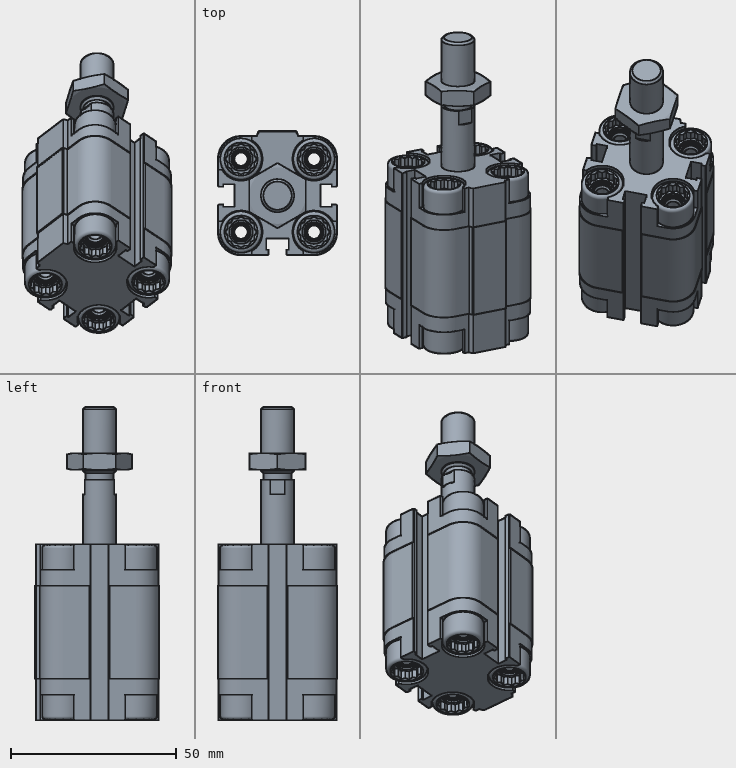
import cadquery as cq
import math

TOTAL_HEIGHT = 94.5
HOUSING_HEIGHT = 53.1
CAP_HEIGHT = 12.5

BARREL_HALF = 18.0
CAP_INSET = 0.2
SCREW_OFFSET = 11.0
PAD_REACH = 19.51
PAD_INSET = 0.33
PAD_HALF_TOP = 5.6
PAD_HALF_SHOULDER = 5.9
PAD_HALF_FOOT = 6.2
PAD_SHOULDER = 0.4

SLOT_DEPTH = 5.0
SLOT_HALF = 3.355
SLOT_MOUTH_HALF = 2.6
SLOT_LIP = 1.7
MOUTH_CHAMFER = 0.4

NOTCH_EDGE = 7.75
NOTCH_DEPTH = 7.7
COLLAR_DIAMETER = 12.5
COLLAR_FILLET = 1.0
COLLAR_POCKET_DIAMETER = 13.0
COLLAR_RECESS = 0.2

SOCKET_FLATS = 8.1
SOCKET_MOUTH_DIAMETER = 10.0
MOUTH_DEPTH = 0.6
SOCKET_DEPTH = 3.2
SEAT_DIAMETER = 7.2
SEAT_DEPTH = 4.0
STEP_DIAMETER = 6.0
STEP_DEPTH = 4.3
FUNNEL_DIAMETER = 5.0
FUNNEL_DEPTH = 5.1
THROUGH_DIAMETER = 4.0

ROD_DIAMETER = 10.0
ROD_TIP_CHAMFER = 0.8
NECK_DIAMETER = 8.5
THREAD_BOTTOM = 75.2
NECK_BOTTOM = 72.6
FLATS_ACROSS = 9.0
FLATS_HEIGHT = 4.4

NUT_FLATS = 17.0
NUT_BOTTOM = 75.5
NUT_HEIGHT = 5.0
NUT_CHAMFER_ANGLE = 15.0

CORNERS = [(sx, sy) for sx in (-1, 1) for sy in (-1, 1)]


def profile_block(inset, pad_inset, bottom, top):
    """Rounded square with a pad on its +Y side; the insets shrink the square and the pad."""
    half = BARREL_HALF - inset
    reach = PAD_REACH - pad_inset
    body = (
        cq.Workplane("XY", origin=(0, 0, bottom))
        .rect(2 * half, 2 * half)
        .extrude(top - bottom)
        .edges("|Z")
        .fillet(half - SCREW_OFFSET)
    )
    pad = (
        cq.Workplane("XY", origin=(0, 0, bottom))
        .moveTo(-PAD_HALF_FOOT, 0)
        .lineTo(PAD_HALF_FOOT, 0)
        .lineTo(PAD_HALF_FOOT, half)
        .lineTo(PAD_HALF_SHOULDER, reach - PAD_SHOULDER)
        .lineTo(PAD_HALF_TOP, reach)
        .lineTo(-PAD_HALF_TOP, reach)
        .lineTo(-PAD_HALF_SHOULDER, reach - PAD_SHOULDER)
        .lineTo(-PAD_HALF_FOOT, half)
        .close()
        .extrude(top - bottom)
    )
    return body.union(pad)


def slot_cutter(angle):
    """T-slot along the full height, opening toward -Y and turned about Z by the angle."""
    floor = SLOT_DEPTH - BARREL_HALF
    lip = SLOT_LIP - BARREL_HALF
    outside = -BARREL_HALF - 0.9
    wide_mouth = SLOT_MOUTH_HALF + MOUTH_CHAMFER
    return (
        cq.Workplane("XY")
        .moveTo(-SLOT_HALF, floor)
        .lineTo(SLOT_HALF, floor)
        .lineTo(SLOT_HALF, lip)
        .lineTo(SLOT_MOUTH_HALF, lip)
        .lineTo(SLOT_MOUTH_HALF, MOUTH_CHAMFER - BARREL_HALF)
        .lineTo(wide_mouth, -BARREL_HALF)
        .lineTo(wide_mouth, outside)
        .lineTo(-wide_mouth, outside)
        .lineTo(-wide_mouth, -BARREL_HALF)
        .lineTo(-SLOT_MOUTH_HALF, MOUTH_CHAMFER - BARREL_HALF)
        .lineTo(-SLOT_MOUTH_HALF, lip)
        .lineTo(-SLOT_HALF, lip)
        .close()
        .extrude(HOUSING_HEIGHT)
        .rotate((0, 0, 0), (0, 0, 1), angle)
    )


def corner_notch():
    """Space around the collar at the +X +Y corner of the top cap."""
    size = BARREL_HALF - NOTCH_EDGE
    middle = (BARREL_HALF + NOTCH_EDGE) / 2
    floor = HOUSING_HEIGHT - NOTCH_DEPTH
    notch = cq.Workplane("XY", origin=(middle, middle, floor)).rect(size, size).extrude(NOTCH_DEPTH)
    screw_axis = cq.Workplane("XY", origin=(SCREW_OFFSET, SCREW_OFFSET, floor))
    pocket = screw_axis.circle(COLLAR_POCKET_DIAMETER / 2).extrude(NOTCH_DEPTH)
    collar = screw_axis.circle(COLLAR_DIAMETER / 2).extrude(NOTCH_DEPTH - COLLAR_RECESS)
    collar = collar.faces(">Z").edges().fillet(COLLAR_FILLET)
    return notch.union(pocket).cut(collar)


def socket():
    """Twelve-point socket with a conical mouth, a stepped seat and a funnel below it."""
    top = HOUSING_HEIGHT - COLLAR_RECESS
    start = cq.Workplane("XY", origin=(SCREW_OFFSET, SCREW_OFFSET, top))
    corners = SOCKET_FLATS / math.cos(math.radians(30))
    hexagon = start.polygon(6, corners).extrude(-SOCKET_DEPTH)
    axis_start = (SCREW_OFFSET, SCREW_OFFSET, 0)
    axis_end = (SCREW_OFFSET, SCREW_OFFSET, 1)
    mouth_radius = SOCKET_MOUTH_DIAMETER / 2
    flats_radius = SOCKET_FLATS / 2
    bore = (
        cq.Workplane("XZ", origin=(SCREW_OFFSET, SCREW_OFFSET, top))
        .moveTo(0, 0)
        .lineTo(mouth_radius, 0)
        .lineTo(flats_radius, -MOUTH_DEPTH)
        .lineTo(flats_radius, -SOCKET_DEPTH)
        .lineTo(SEAT_DIAMETER / 2, -SOCKET_DEPTH)
        .lineTo(SEAT_DIAMETER / 2, -SEAT_DEPTH)
        .lineTo(STEP_DIAMETER / 2, -SEAT_DEPTH)
        .lineTo(STEP_DIAMETER / 2, -STEP_DEPTH)
        .lineTo(FUNNEL_DIAMETER / 2, -STEP_DEPTH)
        .lineTo(THROUGH_DIAMETER / 2, -FUNNEL_DEPTH)
        .lineTo(0, -FUNNEL_DEPTH)
        .close()
        .revolve(360, (0, 0, 0), (0, 1, 0))
    )
    return bore.union(hexagon).union(hexagon.rotate(axis_start, axis_end, 30))


def make_housing():
    cap_top = HOUSING_HEIGHT - CAP_HEIGHT
    body = profile_block(CAP_INSET, PAD_INSET, 0, HOUSING_HEIGHT)
    body = body.union(profile_block(0, 0, CAP_HEIGHT, cap_top))
    for angle in (0, 90, -90):
        body = body.cut(slot_cutter(angle))
    top_cut = corner_notch().union(socket())
    middle = (0, 0, HOUSING_HEIGHT / 2)
    bottom_cut = top_cut.mirror("XY", middle)
    for sx, sy in CORNERS:
        turn = math.degrees(math.atan2(sy, sx)) - 45
        for cut in (top_cut, bottom_cut):
            body = body.cut(cut.rotate((0, 0, 0), (0, 0, 1), turn))
    spacing = 2 * SCREW_OFFSET
    holes = cq.Workplane("XY").rarray(spacing, spacing, 2, 2).circle(THROUGH_DIAMETER / 2)
    return body.cut(holes.extrude(HOUSING_HEIGHT))


def make_rod():
    radius = ROD_DIAMETER / 2
    neck = NECK_DIAMETER / 2
    rod = (
        cq.Workplane("XZ")
        .moveTo(0, HOUSING_HEIGHT)
        .lineTo(radius, HOUSING_HEIGHT)
        .lineTo(radius, NECK_BOTTOM)
        .lineTo(neck, NECK_BOTTOM)
        .lineTo(neck, THREAD_BOTTOM - (radius - neck))
        .lineTo(radius, THREAD_BOTTOM)
        .lineTo(radius, TOTAL_HEIGHT - ROD_TIP_CHAMFER)
        .lineTo(radius - ROD_TIP_CHAMFER, TOTAL_HEIGHT)
        .lineTo(0, TOTAL_HEIGHT)
        .close()
        .revolve(360, (0, 0, 0), (0, 1, 0))
    )
    start = cq.Workplane("XY", origin=(0, 0, NECK_BOTTOM - FLATS_HEIGHT))
    flats = start.rect(2 * ROD_DIAMETER, 2 * ROD_DIAMETER).rect(2 * ROD_DIAMETER, FLATS_ACROSS)
    return rod.cut(flats.extrude(FLATS_HEIGHT))


def make_nut():
    """Hexagon with corners on the Y axis, chamfered at both ends, bored for the rod."""
    corners = NUT_FLATS / math.cos(math.radians(30))
    hexagon = (
        cq.Workplane("XY", origin=(0, 0, NUT_BOTTOM))
        .polygon(6, corners)
        .extrude(NUT_HEIGHT)
        .rotate((0, 0, 0), (0, 0, 1), 30)
    )
    radius = corners / 2
    flat_radius = NUT_FLATS / 2
    drop = (radius - flat_radius) * math.tan(math.radians(NUT_CHAMFER_ANGLE))
    envelope = (
        cq.Workplane("XY", origin=(0, 0, NUT_BOTTOM))
        .circle(radius)
        .extrude(NUT_HEIGHT)
        .faces("<Z or >Z")
        .chamfer(drop, radius - flat_radius)
    )
    bore = cq.Workplane("XY", origin=(0, 0, NUT_BOTTOM)).circle(ROD_DIAMETER / 2).extrude(NUT_HEIGHT)
    return hexagon.intersect(envelope).cut(bore)


housing = make_housing()
rod = make_rod()
nut = make_nut()
result = cq.Compound.makeCompound([housing.val(), rod.val(), nut.val()])